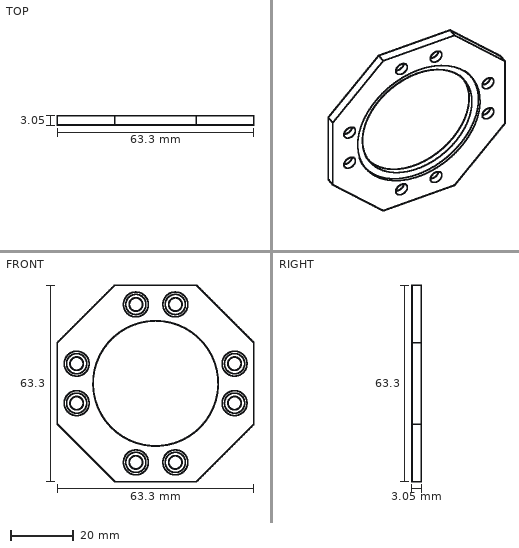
import cadquery as cq
import math

side_count = 8
across_flats = 63.3
thickness = 3.05
front_y = -thickness / 2

bore_diameter = 40.2
lip_thickness = 1.95
rear_recess_diameter = 45.0

pair_count = 4
hole_row_offset = 25.4
pair_half_spacing = hole_row_offset / 4
hole_diameter = 4.2

sink_diameter = 8.03
sink_floor_diameter = 6.5
sink_depth = (sink_diameter - sink_floor_diameter) / 2

axis_origin = cq.Vector(0, 0, 0)
rearward = cq.Vector(0, 1, 0)


def octagon_plate():
    """Octagon with two sides level and two sides upright."""
    across_corners = across_flats / math.cos(math.pi / side_count)
    half_side_angle = 180 / side_count
    return (
        cq.Workplane("XZ", origin=(0, front_y, 0))
        .polygon(side_count, across_corners)
        .extrude(-thickness)
        .rotate(axis_origin, rearward, half_side_angle)
    )


def stepped_bore():
    """Cutter for the bore through the lip and the wider recess behind it."""
    front_center = cq.Vector(0, front_y, 0)
    recess_center = cq.Vector(0, front_y + lip_thickness, 0)
    recess_depth = thickness - lip_thickness
    bore = cq.Solid.makeCylinder(bore_diameter / 2, thickness, front_center, rearward)
    recess = cq.Solid.makeCylinder(rear_recess_diameter / 2, recess_depth, recess_center, rearward)
    return bore.fuse(recess)


def screw_hole(x, z):
    """Cutter for a through hole with a tapered recess in the front face."""
    center = cq.Vector(x, front_y, z)
    hole = cq.Solid.makeCylinder(hole_diameter / 2, thickness, center, rearward)
    sink = cq.Solid.makeCone(sink_diameter / 2, sink_floor_diameter / 2, sink_depth, center, rearward)
    return hole.fuse(sink)


result = octagon_plate().cut(stepped_bore())
for pair_index in range(pair_count):
    pair_angle = pair_index * 360 / pair_count
    for x in (-pair_half_spacing, pair_half_spacing):
        cutter = screw_hole(x, hole_row_offset).rotate(axis_origin, rearward, pair_angle)
        result = result.cut(cutter)